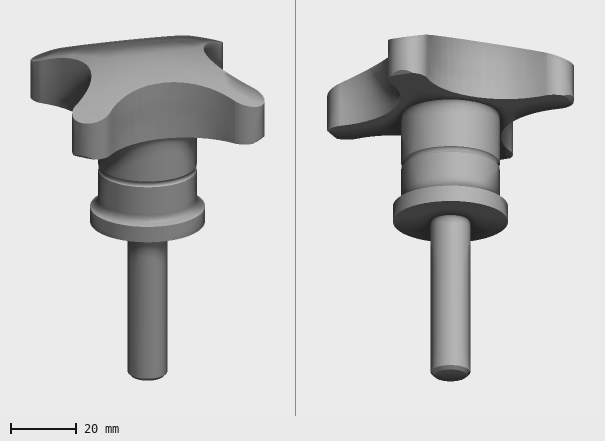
import cadquery as cq
import math

head_diameter = 80.0
head_height = 20.0
dome_radius = 100.0
head_bottom_chamfer = 1.0
disc_overhang = 1.0
arm_count = 4
arm_tip_radius = 6.0
scallop_radius = 25.0
scallop_offset = 30.8

hub_radius = 15.0
hub_height = 34.0
groove_height = 17.9
groove_width = 1.9
groove_depth = 0.5
collar_radius = 17.5
collar_height = 5.0
flare_radius = 2.8
stud_radius = 6.0
total_height = 104.0
stud_tip_chamfer = 1.0
stud_top_taper_height = 0.6
stud_top_taper_depth = 0.3

head_radius = head_diameter / 2
head_top = hub_height + head_height
stud_bottom = head_top - total_height


def head_disc():
    """Domed disc with a conical lower rim, reaching a little beyond the arm tips."""
    rim_radius = head_radius + disc_overhang
    rim_height = hub_height + head_bottom_chamfer + disc_overhang

    def dome_height(radius):
        return head_top - dome_radius + math.sqrt(dome_radius**2 - radius**2)

    half_radius = rim_radius / 2
    return (
        cq.Workplane("XZ")
        .moveTo(0, hub_height)
        .lineTo(head_radius - head_bottom_chamfer, hub_height)
        .lineTo(rim_radius, rim_height)
        .lineTo(rim_radius, dome_height(rim_radius))
        .threePointArc((half_radius, dome_height(half_radius)), (0, head_top))
        .close()
        .revolve(360, (0, 0, 0), (0, 1, 0))
    )


def arm_tip_junction():
    """Point where the +X arm's round end meets the scallop on its +Y side."""
    tip_x = head_radius - arm_tip_radius
    dx = scallop_offset - tip_x
    dy = scallop_offset
    spacing = math.hypot(dx, dy)
    along = (spacing**2 + arm_tip_radius**2 - scallop_radius**2) / (2 * spacing)
    across = math.sqrt(arm_tip_radius**2 - along**2)
    return (
        tip_x + (along * dx + across * dy) / spacing,
        (along * dy - across * dx) / spacing,
    )


def turned(point, index):
    """Point rotated about the axis onto the arm with the given index."""
    angle = index * 2 * math.pi / arm_count
    x, y = point
    return (
        x * math.cos(angle) - y * math.sin(angle),
        x * math.sin(angle) + y * math.cos(angle),
    )


def star_prism():
    """Four-armed outline, extruded over the height of the head."""
    junction_x, junction_y = arm_tip_junction()
    scallop_middle = scallop_offset - scallop_radius / math.sqrt(2)
    outline = cq.Workplane("XY", origin=(0, 0, hub_height)).moveTo(junction_x, -junction_y)
    for index in range(arm_count):
        outline = outline.threePointArc(
            turned((head_radius, 0), index),
            turned((junction_x, junction_y), index),
        ).threePointArc(
            turned((scallop_middle, scallop_middle), index),
            turned((junction_x, -junction_y), index + 1),
        )
    return outline.close().extrude(head_height)


def shank():
    """Stud, collar, flare and grooved hub, turned as one profile."""
    flare_top = collar_height + flare_radius
    flare_centre_x = hub_radius + flare_radius
    flare_end_angle = math.acos((flare_centre_x - collar_radius) / flare_radius)

    def flare_point(angle):
        return (
            flare_centre_x - flare_radius * math.cos(angle),
            flare_top - flare_radius * math.sin(angle),
        )

    return (
        cq.Workplane("XZ")
        .moveTo(0, stud_bottom)
        .lineTo(stud_radius - stud_tip_chamfer, stud_bottom)
        .lineTo(stud_radius, stud_bottom + stud_tip_chamfer)
        .lineTo(stud_radius, -stud_top_taper_height)
        .lineTo(stud_radius - stud_top_taper_depth, 0)
        .lineTo(collar_radius, 0)
        .lineTo(*flare_point(flare_end_angle))
        .threePointArc(flare_point(flare_end_angle / 2), flare_point(0))
        .lineTo(hub_radius, groove_height - groove_width / 2)
        .threePointArc(
            (hub_radius - groove_depth, groove_height),
            (hub_radius, groove_height + groove_width / 2),
        )
        .lineTo(hub_radius, hub_height)
        .lineTo(0, hub_height)
        .close()
        .revolve(360, (0, 0, 0), (0, 1, 0))
    )


head = head_disc().intersect(star_prism())
result = head.union(shank())